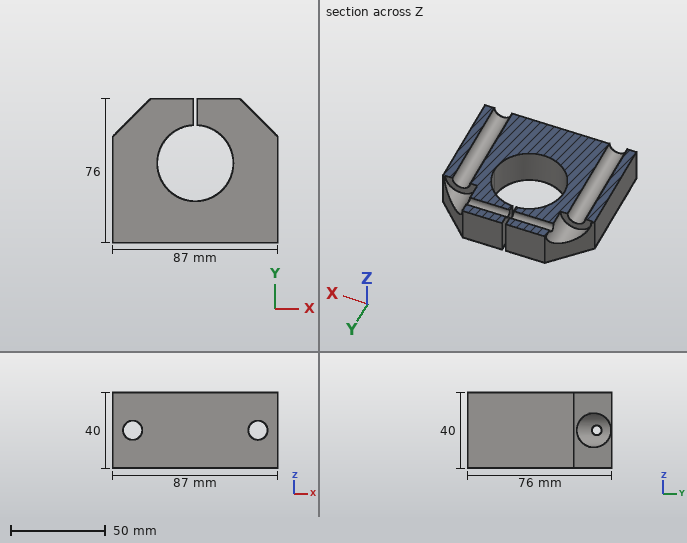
import cadquery as cq

width = 87.0
depth = 76.0
height = 40.0
corner_cut = 20.0

bore_diameter = 40.0
bore_to_back = 34.0
slot_width = 2.0

mount_spacing = 66.0
mount_diameter = 10.0
counterbore_diameter = 18.0
counterbore_depth = corner_cut

screw_diameter = 5.0
screw_to_back = 8.0

back_y = bore_to_back
front_y = back_y - depth


def make_body():
    """Block with its two back corners cut off at 45 degrees."""
    block = cq.Workplane("XY").box(width, depth, height).translate((0, (front_y + back_y) / 2, 0))
    return block.edges("|Z and >Y").chamfer(corner_cut)


def make_shaft_bore():
    return cq.Workplane("XY").circle(bore_diameter / 2).extrude(height, both=True)


def make_slot():
    """Slot from the bore axis out through the back face."""
    return cq.Workplane("XY").box(slot_width, bore_to_back, height).translate((0, bore_to_back / 2, 0))


def cylinder_along_y(x, start_y, end_y, diameter):
    section = cq.Workplane("XZ", origin=(x, end_y, 0)).circle(diameter / 2)
    return section.extrude(end_y - start_y)


def make_mount_hole(x):
    """Through hole along Y with a counterbore entering from the back."""
    hole = cylinder_along_y(x, front_y, back_y, mount_diameter)
    counterbore = cylinder_along_y(x, back_y - counterbore_depth, back_y, counterbore_diameter)
    return hole.union(counterbore)


def make_screw_hole():
    """Clamping screw hole running through the full width."""
    section = cq.Workplane("YZ").center(back_y - screw_to_back, 0).circle(screw_diameter / 2)
    return section.extrude(width / 2, both=True)


result = make_body().cut(make_shaft_bore()).cut(make_slot())
for mount_x in (-mount_spacing / 2, mount_spacing / 2):
    result = result.cut(make_mount_hole(mount_x))
result = result.cut(make_screw_hole())